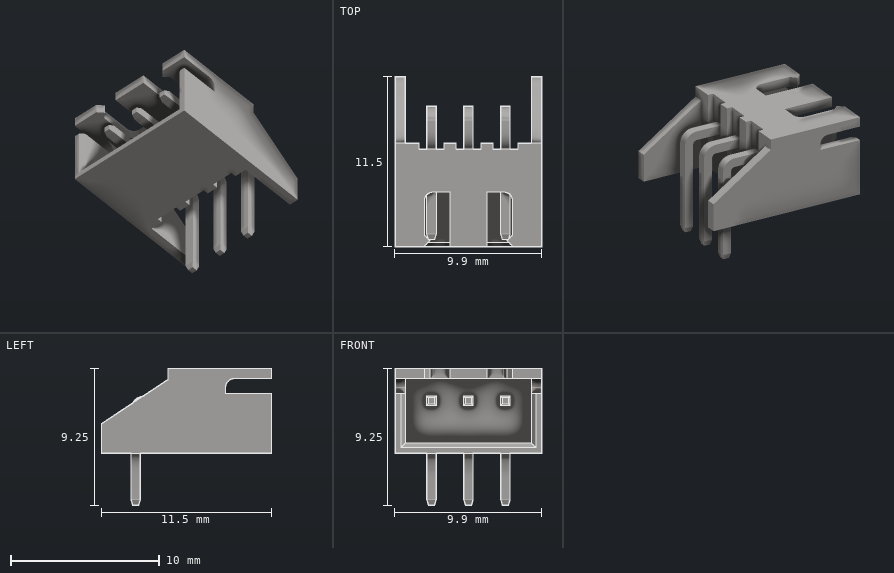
import cadquery as cq
import math


WIDTH = 9.9
LENGTH = 11.5
HEIGHT = 5.75
WALL = 0.7
BLOCK_LENGTH = 7.0
CHEEK_REAR_HEIGHT = 2.0
CHEEK_FRONT_HEIGHT = 4.99
FILLET = 0.6

CAVITY_DEPTH = 5.0
CAVITY_WIDTH = WIDTH - 2 * WALL
CAVITY_TOP = HEIGHT - WALL
MOUTH_CHAMFER = 0.3

SIDE_SLOT_DEPTH = 3.1
SIDE_SLOT_BOTTOM = 4.05

LATCH_SLOT_INNER = 1.25
LATCH_SLOT_OUTER = 2.98
LATCH_SLOT_DEPTH = 3.7
LATCH_NUB = 0.38
LATCH_NUB_START = 0.05

PIN_COUNT = 3
PIN_PITCH = 2.5
PIN_SIZE = 0.64
PIN_AXIS_HEIGHT = 3.55
PIN_FRONT = 0.5
PIN_REAR = 9.5
PIN_BOTTOM = -3.5
PIN_BEND_RADIUS = 0.92
PIN_TIP_LENGTH = 0.38
PIN_TIP_INSET = 0.12
PIN_XS = [(i - (PIN_COUNT - 1) / 2) * PIN_PITCH for i in range(PIN_COUNT)]

RELIEF_WIDTH = 1.67
RELIEF_DEPTH = 0.4


def box(x_min, x_max, y_min, y_max, z_min, z_max):
    """Axis-aligned box given by its limits."""
    size = (x_max - x_min, y_max - y_min, z_max - z_min)
    return cq.Workplane("XY").box(*size, centered=False).translate((x_min, y_min, z_min))


def make_blank():
    """Solid block with two sloping cheeks that continue behind it."""
    profile = [
        (0, 0),
        (LENGTH, 0),
        (LENGTH, CHEEK_REAR_HEIGHT),
        (BLOCK_LENGTH, CHEEK_FRONT_HEIGHT),
        (BLOCK_LENGTH, HEIGHT),
        (0, HEIGHT),
    ]
    blank = cq.Workplane("YZ").polyline(profile).close().extrude(WIDTH / 2, both=True)
    half = CAVITY_WIDTH / 2
    return blank.cut(box(-half, half, BLOCK_LENGTH, LENGTH, 0, HEIGHT))


def make_cavity():
    """Mating cavity whose floor and sides flare outwards at the mouth."""
    half = CAVITY_WIDTH / 2
    cavity = box(-half, half, 0, CAVITY_DEPTH, WALL, CAVITY_TOP)
    flared_half = half + MOUTH_CHAMFER
    flare = (
        cq.Workplane("XZ")
        .polyline([
            (-flared_half, CAVITY_TOP),
            (-flared_half, WALL - MOUTH_CHAMFER),
            (flared_half, WALL - MOUTH_CHAMFER),
            (flared_half, CAVITY_TOP),
        ])
        .close()
        .workplane(offset=-MOUTH_CHAMFER)
        .polyline([(-half, CAVITY_TOP), (-half, WALL), (half, WALL), (half, CAVITY_TOP)])
        .close()
        .loft(ruled=True)
    )
    return cavity.union(flare)


def make_side_slots():
    """One cutter that opens both side walls under the roof, rounded at the upper rear corner."""
    diagonal = FILLET * math.sqrt(0.5)
    return (
        cq.Workplane("YZ")
        .moveTo(0, SIDE_SLOT_BOTTOM)
        .lineTo(SIDE_SLOT_DEPTH, SIDE_SLOT_BOTTOM)
        .lineTo(SIDE_SLOT_DEPTH, CAVITY_TOP - FILLET)
        .threePointArc(
            (SIDE_SLOT_DEPTH - FILLET + diagonal, CAVITY_TOP - FILLET + diagonal),
            (SIDE_SLOT_DEPTH - FILLET, CAVITY_TOP),
        )
        .lineTo(0, CAVITY_TOP)
        .close()
        .extrude(WIDTH / 2, both=True)
    )


def make_latch_slot():
    """Roof slot on the +X side, with a pointed nub on its outer edge near the mouth."""
    diagonal = FILLET * math.sqrt(0.5)
    nub_peak = LATCH_NUB_START + LATCH_NUB
    return (
        cq.Workplane("XY", origin=(0, 0, CAVITY_TOP))
        .moveTo(LATCH_SLOT_INNER, 0)
        .lineTo(LATCH_SLOT_OUTER, 0)
        .lineTo(LATCH_SLOT_OUTER, LATCH_NUB_START)
        .lineTo(LATCH_SLOT_OUTER - LATCH_NUB, nub_peak)
        .lineTo(LATCH_SLOT_OUTER, nub_peak + LATCH_NUB)
        .lineTo(LATCH_SLOT_OUTER, LATCH_SLOT_DEPTH - FILLET)
        .threePointArc(
            (LATCH_SLOT_OUTER - FILLET + diagonal, LATCH_SLOT_DEPTH - FILLET + diagonal),
            (LATCH_SLOT_OUTER - FILLET, LATCH_SLOT_DEPTH),
        )
        .lineTo(LATCH_SLOT_INNER, LATCH_SLOT_DEPTH)
        .close()
        .extrude(WALL)
    )


def make_rear_relief(x):
    """Full-height groove in the rear face of the block behind one pin."""
    half = RELIEF_WIDTH / 2
    return box(x - half, x + half, BLOCK_LENGTH - RELIEF_DEPTH, BLOCK_LENGTH, 0, HEIGHT)


def make_pin(x):
    """Square pin bent down by a right angle, with a tapered tip at both ends."""
    half = PIN_SIZE / 2
    tip = PIN_SIZE - 2 * PIN_TIP_INSET
    top = PIN_AXIS_HEIGHT + half
    leg_axis_y = PIN_REAR - half
    shoulder_y = PIN_FRONT + PIN_TIP_LENGTH
    shoulder_z = PIN_BOTTOM + PIN_TIP_LENGTH
    inner_radius = PIN_BEND_RADIUS - PIN_SIZE
    centre_y = PIN_REAR - PIN_BEND_RADIUS
    centre_z = top - PIN_BEND_RADIUS

    def bend_middle(radius):
        return (centre_y + radius * math.sqrt(0.5), centre_z + radius * math.sqrt(0.5))

    shank = (
        cq.Workplane("YZ", origin=(x, 0, 0))
        .moveTo(shoulder_y, top)
        .lineTo(centre_y, top)
        .threePointArc(bend_middle(PIN_BEND_RADIUS), (PIN_REAR, centre_z))
        .lineTo(PIN_REAR, shoulder_z)
        .lineTo(PIN_REAR - PIN_SIZE, shoulder_z)
        .lineTo(PIN_REAR - PIN_SIZE, centre_z)
        .threePointArc(bend_middle(inner_radius), (centre_y, top - PIN_SIZE))
        .lineTo(shoulder_y, top - PIN_SIZE)
        .close()
        .extrude(half, both=True)
    )
    front_tip = (
        cq.Workplane("XZ", origin=(x, shoulder_y, PIN_AXIS_HEIGHT))
        .rect(PIN_SIZE, PIN_SIZE)
        .workplane(offset=PIN_TIP_LENGTH)
        .rect(tip, tip)
        .loft()
    )
    bottom_tip = (
        cq.Workplane("XY", origin=(x, leg_axis_y, PIN_BOTTOM))
        .rect(tip, tip)
        .workplane(offset=PIN_TIP_LENGTH)
        .rect(PIN_SIZE, PIN_SIZE)
        .loft()
    )
    return shank.union(front_tip).union(bottom_tip)


latch_slot = make_latch_slot()
result = make_blank().cut(make_cavity()).cut(make_side_slots())
result = result.cut(latch_slot).cut(latch_slot.mirror("YZ"))
for pin_x in PIN_XS:
    result = result.cut(make_rear_relief(pin_x)).union(make_pin(pin_x))